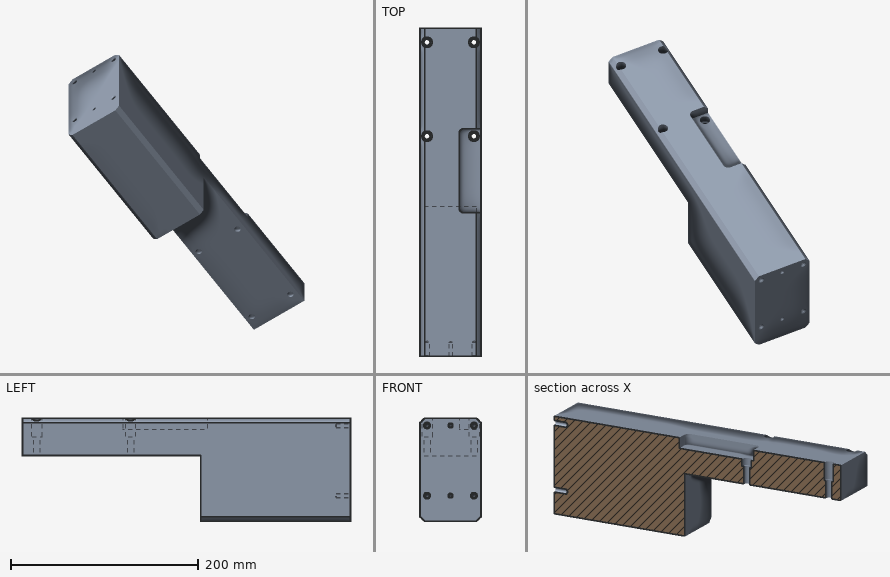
import cadquery as cq
import math

width = 65.0
length = 350.0
height = 110.0
edge_chamfer = 5.0

body_length = 160.0
arm_thickness = 40.0

mount_spacing_x = 50.0
mount_spacing_y = 100.0
mount_rear_margin = 15.0
mount_diameter = 6.5
counterbore_diameter = 11.0
counterbore_depth = 20.0

pocket_width = 23.5
pocket_length = 90.0
pocket_rear_margin = 107.0
pocket_depth = 12.0
pocket_radius = 5.5

front_spacing_x = mount_spacing_x
front_spacing_z = 75.0
front_top_margin = 7.7
front_hole_depth = 15.0
drill_tip_angle = 118.0
corner_hole_diameter = 5.0
corner_mouth_diameter = 6.5
centre_hole_diameter = 4.0
centre_mouth_diameter = 5.0


def make_body():
    """Chamfered bar with the space under the arm removed."""
    bar = (
        cq.Workplane("XY")
        .box(width, length, height, centered=(True, False, False))
        .edges("|Y")
        .chamfer(edge_chamfer)
    )
    under_arm = (
        cq.Workplane("XY")
        .box(width, length - body_length, height - arm_thickness, centered=(True, False, False))
        .translate((0, body_length, 0))
    )
    return bar.cut(under_arm)


def make_pocket():
    """Cutter for the side pocket, rounded at its two inner corners."""
    return (
        cq.Workplane("XY")
        .box(pocket_width, pocket_length, pocket_depth, centered=False)
        .edges("|Z and <X")
        .fillet(pocket_radius)
        .translate((
            width / 2 - pocket_width,
            length - pocket_rear_margin - pocket_length,
            height - pocket_depth,
        ))
    )


def make_mount_hole(x, y):
    """Cutter for one through hole with its counterbore, sunk from the top."""
    top = cq.Workplane("XY", origin=(x, y, height))
    through = top.circle(mount_diameter / 2).extrude(-arm_thickness)
    counterbore = top.circle(counterbore_diameter / 2).extrude(-counterbore_depth)
    return through.union(counterbore)


def make_front_hole(x, z, diameter, mouth_diameter):
    """Cutter for one blind hole with a 45 degree countersunk mouth and a drill tip."""
    radius = diameter / 2
    mouth_radius = mouth_diameter / 2
    tip_depth = radius / math.tan(math.radians(drill_tip_angle / 2))
    profile = [
        (0, 0),
        (mouth_radius, 0),
        (radius, mouth_radius - radius),
        (radius, front_hole_depth),
        (0, front_hole_depth + tip_depth),
    ]
    return (
        cq.Workplane("XY")
        .polyline(profile)
        .close()
        .revolve(360, (0, 0, 0), (0, 1, 0))
        .translate((x, 0, z))
    )


result = make_body().cut(make_pocket())

rear_mount_y = length - mount_rear_margin
for x in (-mount_spacing_x / 2, mount_spacing_x / 2):
    for y in (rear_mount_y - mount_spacing_y, rear_mount_y):
        result = result.cut(make_mount_hole(x, y))

upper_front_z = height - front_top_margin
for z in (upper_front_z - front_spacing_z, upper_front_z):
    for x in (-front_spacing_x / 2, front_spacing_x / 2):
        result = result.cut(make_front_hole(x, z, corner_hole_diameter, corner_mouth_diameter))
    result = result.cut(make_front_hole(0, z, centre_hole_diameter, centre_mouth_diameter))